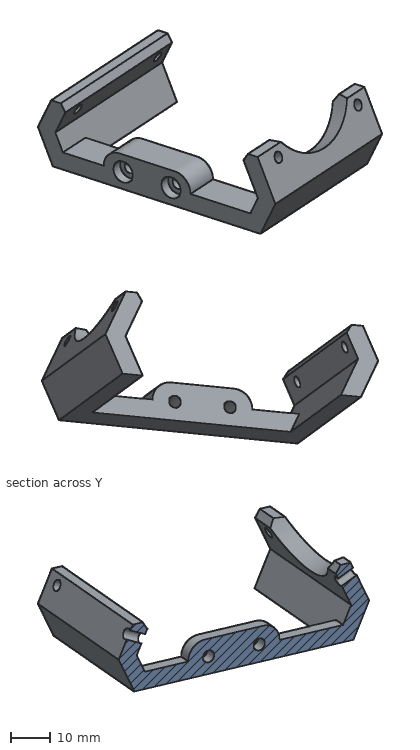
import cadquery as cq
import math

length_x = 74.3
length_y = 47.5
half_x = length_x / 2
wall = 5.0
bend_z = 10.0
lean = math.radians(25)
left_top_z = 18.95
right_top_z = 21.9
tip_chamfer = 2.45

bar_depth = 10.0
boss_x = -3.0
boss_width = 27.2
boss_radius = bend_z - wall

screw_spacing = 15.0
screw_diameter = 3.2
counterbore_diameter = 6.0
counterbore_depth = 3.0

arm_center_y = 25.05
arm_hole_spacing = 35.4
arm_hole_diameter = 3.0
left_hole_rise = 6.9
right_hole_rise = 10.0
cutout_radius = 17.8
cutout_rise = 23.2

lean_slope = math.tan(lean)
wall_across = wall / math.cos(lean)
inner_x = half_x - wall_across


def extrude_y(points, depth):
    """Extrude an XZ outline from Y = 0 toward +Y."""
    return cq.Workplane("XZ").polyline(points).close().extrude(-depth)


def arm(side, top_z):
    """Bent arm on one side: -1 for left, +1 for right."""
    foot_shift = bend_z * lean_slope
    top_shift = (top_z - bend_z) * lean_slope
    top_inner_x = inner_x - top_shift
    outline = [
        (half_x - foot_shift, 0),
        (half_x, bend_z),
        (half_x - top_shift, top_z),
        (top_inner_x + tip_chamfer, top_z),
        (top_inner_x + tip_chamfer * math.sin(lean), top_z - tip_chamfer * math.cos(lean)),
        (inner_x, bend_z),
        (inner_x - foot_shift, 0),
    ]
    return extrude_y([(side * x, z) for x, z in outline], length_y)


def arm_bore(side, rise, y, diameter):
    """Cutter square to an arm's upper wall, passing right through it."""
    center = cq.Vector(
        side * (half_x - rise * math.sin(lean)), y, bend_z + rise * math.cos(lean)
    )
    inward = cq.Vector(-side * math.cos(lean), 0, -math.sin(lean))
    start = center - inward * wall
    return cq.Workplane(obj=cq.Solid.makeCylinder(diameter / 2, 3 * wall, start, inward))


def cross_bar():
    """Flat bar between the arms with a round-shouldered boss."""
    foot_x = half_x - bend_z * lean_slope
    floor_x = inner_x - (bend_z - wall) * lean_slope
    bar = extrude_y([(-foot_x, 0), (foot_x, 0), (floor_x, wall), (-floor_x, wall)], bar_depth)
    boss = (
        cq.Workplane("XY")
        .box(boss_width, bar_depth, bend_z, centered=(True, False, False))
        .edges("|Y and >Z")
        .fillet(boss_radius)
        .translate((boss_x, 0, 0))
    )
    return bar.union(boss)


result = cross_bar().union(arm(-1, left_top_z)).union(arm(1, right_top_z))

for direction in (-1, 1):
    screw_x = boss_x + direction * screw_spacing / 2
    screw_plane = cq.Workplane("XZ").center(screw_x, wall)
    result = result.cut(screw_plane.circle(screw_diameter / 2).extrude(-bar_depth))
    result = result.cut(screw_plane.circle(counterbore_diameter / 2).extrude(-counterbore_depth))

for direction in (-1, 1):
    hole_y = arm_center_y + direction * arm_hole_spacing / 2
    result = result.cut(arm_bore(-1, left_hole_rise, hole_y, arm_hole_diameter))
    result = result.cut(arm_bore(1, right_hole_rise, hole_y, arm_hole_diameter))

result = result.cut(arm_bore(1, cutout_rise, arm_center_y, 2 * cutout_radius))